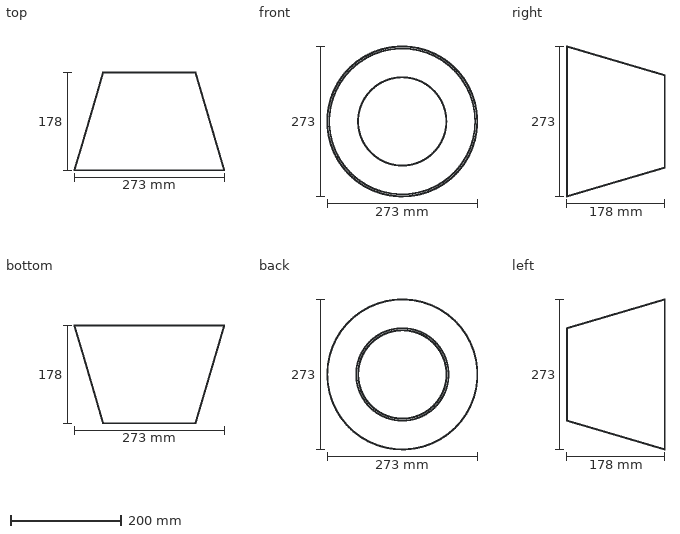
import cadquery as cq

length = 178.0
large_diameter = 273.0
small_diameter = 168.2
wall = 4.0

large_radius = large_diameter / 2
small_radius = small_diameter / 2

wall_section = [
    (large_radius - wall, 0),
    (large_radius, 0),
    (small_radius, length),
    (small_radius - wall, length),
]

result = (
    cq.Workplane("XY")
    .polyline(wall_section)
    .close()
    .revolve(360, (0, 0, 0), (0, 1, 0))
)